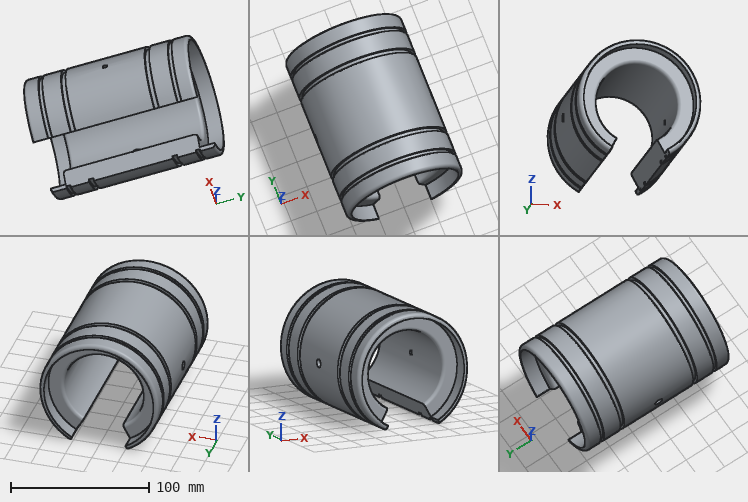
import cadquery as cq
import math

length = 124.7
outer_radius = 45.0
bore_radius = 30.0
edge_radius = 2.5

recess_radius = 41.5
recess_depth = 11.3

inner_groove = (31.8, 3.5, 2.2)
outer_groove = (49.2, 3.0, 1.7)

opening_angle = 58.4

wide_hole_diameter = 6.1
narrow_hole_diameter = 3.4


def cylinder_along_y(radius, y_start, y_length):
    """Solid cylinder on the Y axis, running from y_start toward +Y."""
    return cq.Workplane(cq.Solid.makeCylinder(radius, y_length, cq.Vector(0, y_start, 0), cq.Vector(0, 1, 0)))


def make_sleeve():
    """Recessed tube with rounded outer rims and rounded bore mouths."""
    half_length = length / 2
    shell = cylinder_along_y(outer_radius, -half_length, length)
    for recess_start in (-half_length, half_length - recess_depth):
        shell = shell.cut(cylinder_along_y(recess_radius, recess_start, recess_depth))

    bore_length = length - 2 * recess_depth
    shell = shell.cut(cylinder_along_y(bore_radius, -bore_length / 2, bore_length))
    bore_mouths = cq.selectors.RadiusNthSelector(0)
    outer_rims = cq.selectors.RadiusNthSelector(-1)
    for rounded_edges in (bore_mouths, outer_rims):
        shell = shell.edges("%CIRCLE").edges(rounded_edges).fillet(edge_radius)
    return shell


def make_groove(centre, width, depth):
    """Ring that removes one outer groove."""
    start = centre - width / 2
    ring = cylinder_along_y(outer_radius, start, width)
    return ring.cut(cylinder_along_y(outer_radius - depth, start, width))


def make_opening():
    """Wedge with its tip on the axis, reaching below the body."""
    reach = 1.2 * outer_radius
    half_width = reach * math.tan(math.radians(opening_angle / 2))
    wedge = cq.Workplane("XZ").polyline([(0, 0), (half_width, -reach), (-half_width, -reach)]).close()
    return wedge.extrude(length / 2, both=True)


def make_cross_hole(diameter, direction):
    """Radial hole from the axis out through one wall."""
    return cq.Workplane("YZ").circle(diameter / 2).extrude(direction * outer_radius)


result = make_sleeve()
for groove_centre, groove_width, groove_depth in (inner_groove, outer_groove):
    for side in (-1, 1):
        result = result.cut(make_groove(side * groove_centre, groove_width, groove_depth))
result = result.cut(make_opening())
result = result.cut(make_cross_hole(wide_hole_diameter, -1))
result = result.cut(make_cross_hole(narrow_hole_diameter, 1))